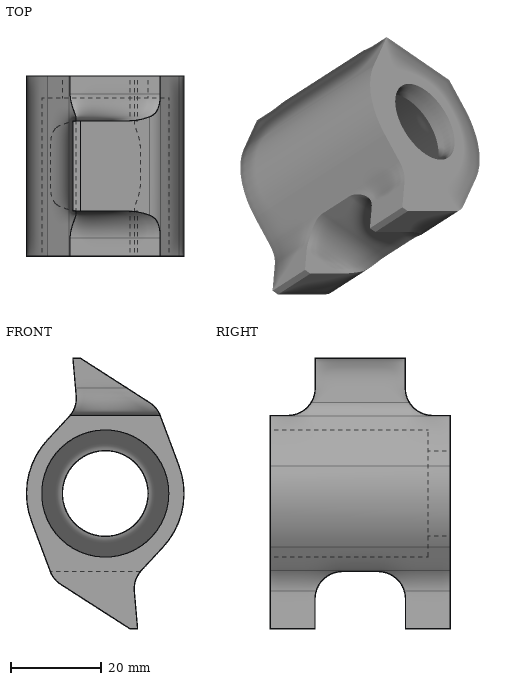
import cadquery as cq
import math

height = 60.0
length = 40.0
outer_radius = 17.49
bore_diameter = 28.2
end_hole_diameter = 18.95
end_wall = 5.0

tooth_width = length / 2
deck_height = 17.35
blend_radius = 6.0

tip_left = -7.2
tip_width = 1.75
face_lean = 5.0
back_slope = 32.7
left_tangent = 137.1
right_tangent = 20.5

tip_height = height / 2
half_length = length / 2


def sleeve_point(angle):
    a = math.radians(angle)
    return outer_radius * math.cos(a), outer_radius * math.sin(a)


def meet(point_a, angle_a, point_b, angle_b):
    """Crossing of two lines, each given by a point and a direction in degrees."""
    ax, az = math.cos(math.radians(angle_a)), math.sin(math.radians(angle_a))
    bx, bz = math.cos(math.radians(angle_b)), math.sin(math.radians(angle_b))
    dx, dz = point_b[0] - point_a[0], point_b[1] - point_a[1]
    reach = (dx * bz - dz * bx) / (ax * bz - az * bx)
    return point_a[0] + reach * ax, point_a[1] + reach * az


def turned(point):
    return -point[0], -point[1]


def make_blank():
    """Full-length prism with a tooth above and below, its flank corners rounded."""
    flank_left = sleeve_point(left_tangent)
    flank_right = sleeve_point(right_tangent)
    tip_front = (tip_left, tip_height)
    tip_back = (tip_left + tip_width, tip_height)
    root = meet(flank_left, left_tangent - 90, tip_front, 90 + face_lean)
    shoulder = meet(flank_right, right_tangent + 90, tip_back, -back_slope)

    upper = [flank_left, root, tip_front, tip_back, shoulder, flank_right]
    lower = [turned(p) for p in upper]
    profile = cq.Workplane("XZ").moveTo(*upper[0])
    for point in upper[1:]:
        profile = profile.lineTo(*point)
    profile = profile.threePointArc((outer_radius, 0), lower[0])
    for point in lower[1:]:
        profile = profile.lineTo(*point)
    profile = profile.threePointArc((-outer_radius, 0), upper[0]).close()
    blank = profile.extrude(half_length, both=True)

    for x, z in (root, shoulder, turned(root), turned(shoulder)):
        corner = cq.selectors.NearestToPointSelector((x, 0, z))
        blank = blank.edges("|Y").edges(corner).fillet(blend_radius)
    return blank


def relief(y_start, y_end, z_start, z_end, rounded_edges):
    """Block spanning the full width in X, with its inner corners rounded."""
    block = cq.Workplane("XY").box(
        height, y_end - y_start, z_end - z_start, centered=(True, False, False)
    )
    block = block.translate((0, y_start, z_start))
    return block.edges(rounded_edges).fillet(blend_radius)


def cut_teeth(body):
    half_tooth = tooth_width / 2
    beyond_end = half_length + 2 * blend_radius
    beyond_tip = tip_height + blend_radius
    front_relief = relief(-beyond_end, -half_tooth, deck_height, beyond_tip, "|X and <Z and >Y")
    back_relief = relief(half_tooth, beyond_end, deck_height, beyond_tip, "|X and <Z and <Y")
    lower_gap = relief(-half_tooth, half_tooth, -beyond_tip, -deck_height, "|X and >Z")
    return body.cut(front_relief).cut(back_relief).cut(lower_gap)


def cut_bore(body):
    """Bore from the -Y end, leaving an end wall with a smaller through hole."""
    front = cq.Workplane("XZ", origin=(0, -half_length, 0))
    bore = front.circle(bore_diameter / 2).extrude(-(length - end_wall))
    hole = front.circle(end_hole_diameter / 2).extrude(-length)
    return body.cut(bore).cut(hole)


result = cut_bore(cut_teeth(make_blank()))